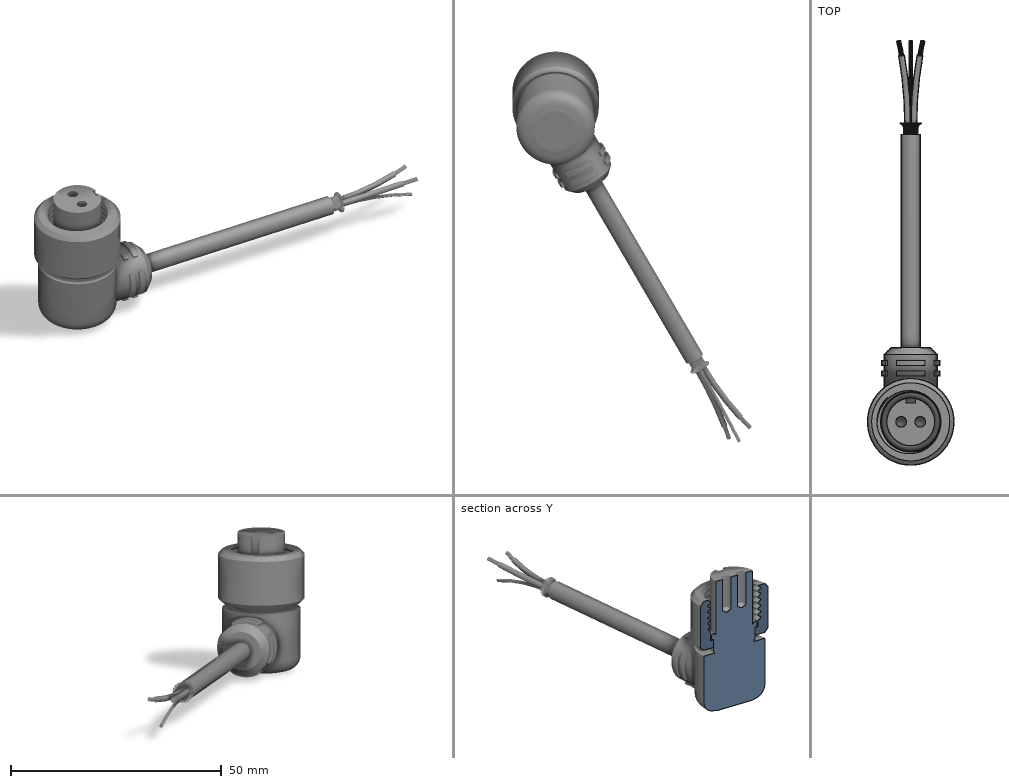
import cadquery as cq
import math


housing_diameter = 18.7
housing_top = 15.0
base_flat_diameter = 10.2
base_cone_radius = 6.8
base_cone_height = 0.3
base_round_height = 3.4
neck_groove_diameter = 12.2
neck_groove_height = 0.3
neck_diameter = 12.7
plug_diameter = 11.3
plug_top = 33.3

seal_diameter = 13.9
seal_straight_height = 1.0

nut_diameter = 20.6
nut_bottom = 16.5
nut_top = 29.1
nut_chamfer = 1.0
nut_web = 2.0
thread_pitch = 1.5
thread_minor_diameter = 14.3
thread_major_diameter = 16.0
thread_half_back = 0.69
thread_undercut = 0.1
thread_runout = 1.2
seam_angle = 90
thread_angle = 190

web_top = nut_bottom + nut_web
seal_shoulder = web_top + seal_straight_height
seal_top = seal_shoulder + (seal_diameter - plug_diameter) / 4

socket_diameter = 2.5
socket_spacing = 4.5
socket_depth = 8.1
socket_tip_height = 0.7
key_width = 2.2
key_floor = 4.5

cable_height = 7.8
arm_diameter = 12.6
arm_end = 17.7
arm_end_diameter = 9.3
rib_height = 0.6
rib_thickness = 1.2
rib_angle = 58
rib_places = (14.0, 11.5)

cable_diameter = 4.5
cable_end = 68.3
embed = 0.5
strand_diameter = 0.2
shield_strands = 48
shield_diameter = 3.4
shield_straight = 1.5
shield_end = 71.0
flare_radius = 2.5
conductor_diameter = 1.4
conductor_offset = 0.76
conductor_bend = (2.1, 1.9)
insulation_share = 0.82
bundle_diameter = 1.0
drain_diameter = 0.8
drain_drop = 1.1
drain_bend = (0, -3.3)

overall_length = 100.9
rim_end = overall_length - nut_diameter / 2
tip_tilt = 2 * math.atan(math.hypot(*conductor_bend) / (rim_end - shield_end))
wire_end = rim_end - bundle_diameter / 2 * math.sin(tip_tilt)


def turned_body():
    """Housing, neck, seal ring and plug as one revolved profile."""
    housing_radius = housing_diameter / 2
    groove_radius = neck_groove_diameter / 2
    groove_top = housing_top + neck_groove_height
    neck_radius = neck_diameter / 2
    plug_radius = plug_diameter / 2
    seal_radius = seal_diameter / 2
    crest_radius = (seal_radius + plug_radius) / 2
    return (
        cq.Workplane("XZ")
        .lineTo(0, plug_top)
        .lineTo(plug_radius, plug_top)
        .lineTo(plug_radius, seal_shoulder)
        .threePointArc((crest_radius, seal_top), (seal_radius, seal_shoulder))
        .lineTo(seal_radius, web_top)
        .lineTo(neck_radius, web_top)
        .lineTo(neck_radius, groove_top)
        .lineTo(groove_radius, groove_top)
        .lineTo(groove_radius, housing_top)
        .lineTo(housing_radius, housing_top)
        .lineTo(housing_radius, base_round_height)
        .tangentArcPoint((base_cone_radius, base_cone_height), relative=False)
        .lineTo(base_flat_diameter / 2, 0)
        .close()
        .revolve(360, (0, 0, 0), (0, 1, 0))
    )


def along_cable(radius, start, end):
    """Cylinder on the cable axis between two places along Y."""
    plane = cq.Workplane("XZ", origin=(0, start, cable_height))
    return plane.circle(radius).extrude(start - end)


def arm():
    """Cable arm with a chamfered end and two rows of four grip ribs."""
    arm_radius = arm_diameter / 2
    arm_chamfer = (arm_diameter - arm_end_diameter) / 2
    body = along_cable(arm_radius, 0, arm_end).faces(">Y").chamfer(arm_chamfer)
    rib_radius = arm_radius + rib_height
    half_angle = math.radians(rib_angle / 2)
    reach = 2 * rib_radius
    for place in rib_places:
        start = place - rib_thickness / 2
        ring = along_cable(rib_radius, start, start + rib_thickness)
        wedge = (
            cq.Workplane("XZ", origin=(0, start, cable_height))
            .lineTo(reach, reach * math.tan(half_angle))
            .lineTo(reach, -reach * math.tan(half_angle))
            .close()
            .extrude(-rib_thickness)
        )
        for angle in range(0, 360, 90):
            turned = wedge.rotate((0, 0, cable_height), (0, 1, cable_height), angle)
            body = body.union(ring.intersect(turned))
    return body


def sockets():
    """Two contact holes with conical bottoms."""
    radius = socket_diameter / 2
    profile = (
        cq.Workplane("XZ")
        .moveTo(0, plug_top)
        .lineTo(radius, plug_top)
        .lineTo(radius, plug_top - socket_depth)
        .lineTo(0, plug_top - socket_depth - socket_tip_height)
        .close()
        .revolve(360, (0, 0, 0), (0, 1, 0))
    )
    half = socket_spacing / 2
    return profile.translate((-half, 0, 0)).union(profile.translate((half, 0, 0)))


def keyway():
    """Slot down the cable side of the plug, ending at the seal ring."""
    depth = plug_diameter / 2 - key_floor
    return cq.Workplane("XY").box(
        key_width, depth, plug_top - seal_top, centered=(True, False, False)
    ).translate((0, key_floor, seal_top))


def bend_path(start, bend, share=1.0):
    """Wire path: straight along Y out of the cable, then an arc that drifts by bend (X, Z)."""
    x, z = start
    run = wire_end - shield_end
    drift = math.hypot(*bend)
    full_angle = 2 * math.atan(drift / run)
    radius = run / math.sin(full_angle)

    def arc_point(angle):
        side = radius * (1 - math.cos(angle)) / drift
        return (x + bend[0] * side, shield_end + radius * math.sin(angle), z + bend[1] * side)

    angle = share * full_angle
    first = cq.Edge.makeLine(cq.Vector(x, cable_end - embed, z), cq.Vector(x, shield_end, z))
    arc = cq.Edge.makeThreePointArc(
        cq.Vector(*arc_point(0)), cq.Vector(*arc_point(angle / 2)), cq.Vector(*arc_point(angle))
    )
    return cq.Workplane(cq.Wire.assembleEdges([first, arc]))


def strand_bundle(start, bend, diameter):
    """Bare bundle of fine strands, swept as one scalloped outline."""
    outer = diameter / 2
    strand_radius = strand_diameter / 2
    ring = outer - strand_radius
    count = math.ceil(math.pi / math.asin(strand_radius / ring))
    half_step = math.pi / count
    valley = ring * math.cos(half_step) + math.sqrt(
        strand_radius**2 - (ring * math.sin(half_step)) ** 2
    )

    def polar(radius, angle):
        return (radius * math.cos(angle), radius * math.sin(angle))

    outline = cq.Workplane("XZ", origin=(start[0], cable_end - embed, start[1]))
    outline = outline.moveTo(*polar(valley, -half_step))
    for index in range(count):
        middle = 2 * index * half_step
        outline = outline.threePointArc(polar(outer, middle), polar(valley, middle + half_step))
    return outline.close().sweep(bend_path(start, bend))


def conductor(side):
    """Insulated conductor with a bare stranded tip; side is -1 or 1 along X."""
    start = (side * conductor_offset, cable_height)
    bend = (side * conductor_bend[0], conductor_bend[1])
    insulation = (
        cq.Workplane("XZ", origin=(start[0], cable_end - embed, start[1]))
        .circle(conductor_diameter / 2)
        .sweep(bend_path(start, bend, insulation_share))
    )
    return insulation.union(strand_bundle(start, bend, bundle_diameter))


def shield_strand(angle):
    """One shield strand, running along the cable and flaring outwards at its end."""
    ring = (shield_diameter - strand_diameter) / 2
    path = (
        cq.Workplane("XY")
        .moveTo(ring, cable_end - embed)
        .lineTo(ring, cable_end + shield_straight)
        .tangentArcPoint((flare_radius, shield_end), relative=False)
    )
    strand = (
        cq.Workplane("XZ", origin=(ring, cable_end - embed, 0))
        .circle(strand_diameter / 2)
        .sweep(path)
    )
    return strand.rotate((0, 0, 0), (0, 1, 0), angle).translate((0, 0, cable_height))


def make_connector():
    """Plug, housing, arm, cable and bared wires in one solid."""
    body = turned_body().union(arm()).cut(sockets()).cut(keyway())
    cable = along_cable(cable_diameter / 2, housing_diameter / 2, cable_end)
    wires = [conductor(-1).val(), conductor(1).val()]
    drain_start = (0, cable_height - drain_drop)
    wires.append(strand_bundle(drain_start, drain_bend, drain_diameter).val())
    for index in range(shield_strands):
        wires.append(shield_strand(index * 360 / shield_strands).val())
    cable = cq.Workplane(cable.val().fuse(*wires))
    return body.union(cable)


def make_nut():
    """Coupling nut: chamfered sleeve with a web round the neck and an internal thread."""
    blank = (
        cq.Workplane("XY", origin=(0, 0, nut_bottom))
        .circle(nut_diameter / 2)
        .extrude(nut_top - nut_bottom)
        .edges()
        .chamfer(nut_chamfer)
    )
    web_hole = (
        cq.Workplane("XY", origin=(0, 0, nut_bottom)).circle(neck_diameter / 2).extrude(nut_web)
    )
    bore = (
        cq.Workplane("XY", origin=(0, 0, web_top))
        .circle(thread_minor_diameter / 2)
        .extrude(nut_top - web_top)
    )
    nut_body = blank.cut(web_hole).cut(bore).cut(thread_groove(web_top + thread_pitch))
    return nut_body.rotate((0, 0, 0), (0, 0, 1), thread_angle - seam_angle)


def thread_groove(bottom):
    """Helical V-groove that runs out through the top of the nut."""
    minor_radius = thread_minor_diameter / 2
    mouth = minor_radius - thread_undercut
    helix = cq.Wire.makeHelix(
        thread_pitch, nut_top + thread_runout - bottom, minor_radius
    ).translate(cq.Vector(0, 0, bottom))
    groove = (
        cq.Workplane("XZ", origin=(0, 0, bottom))
        .moveTo(mouth, -thread_half_back)
        .lineTo(thread_major_diameter / 2, 0)
        .lineTo(mouth, thread_half_back)
        .close()
        .sweep(cq.Workplane(helix), isFrenet=True)
    )
    return groove.rotate((0, 0, 0), (0, 0, 1), seam_angle)


connector = make_connector()
nut = make_nut()
result = cq.Compound.makeCompound([connector.val(), nut.val()])